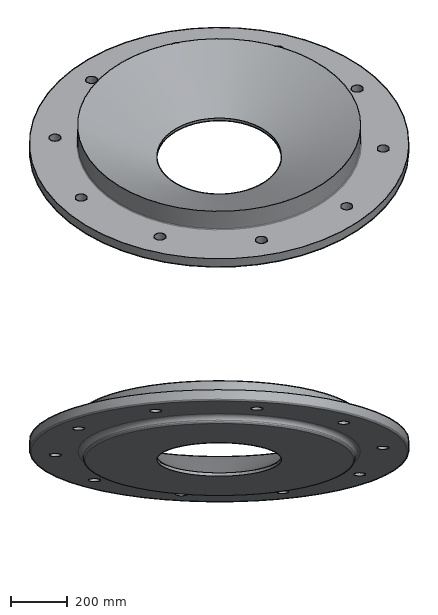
import cadquery as cq

total_height = 150.0
flange_thickness = 40.0
spigot_height = 30.0
spigot_straight_height = 11.0
throat_height = 12.0
flange_top = spigot_height + flange_thickness

flange_radius = 1340 / 2
collar_radius = 1000.0 / 2
spigot_radius = 960.0 / 2
throat_radius = 440.0 / 2

edge_radius = 5.0
collar_root_radius = 3.0
spigot_flare = spigot_height - spigot_straight_height

bolt_count = 10
bolt_hole_diameter = 42.0
bolt_circle_radius = 1160.0 / 2
first_bolt_angle = 90


def make_body():
    """Revolved flange with a conical bowl, a raised collar and a flared, rounded spigot."""
    profile = (
        cq.Workplane("XZ")
        .moveTo(throat_radius, 0)
        .lineTo(spigot_radius - edge_radius, 0)
        .radiusArc((spigot_radius, edge_radius), -edge_radius)
        .lineTo(spigot_radius, spigot_straight_height)
        .radiusArc((spigot_radius + spigot_flare, spigot_height), spigot_flare)
        .lineTo(flange_radius - edge_radius, spigot_height)
        .radiusArc((flange_radius, spigot_height + edge_radius), -edge_radius)
        .lineTo(flange_radius, flange_top)
        .lineTo(collar_radius + collar_root_radius, flange_top)
        .radiusArc((collar_radius, flange_top + collar_root_radius), collar_root_radius)
        .lineTo(collar_radius, total_height)
        .lineTo(throat_radius, throat_height)
        .close()
    )
    return profile.revolve(360, (0, 0, 0), (0, 1, 0))


def make_bolt_holes():
    """Cutters for the bolt circle, passing through the flange."""
    return (
        cq.Workplane("XY")
        .workplane(offset=spigot_height)
        .polarArray(bolt_circle_radius, first_bolt_angle, 360, bolt_count)
        .circle(bolt_hole_diameter / 2)
        .extrude(flange_thickness)
    )


result = make_body().cut(make_bolt_holes())